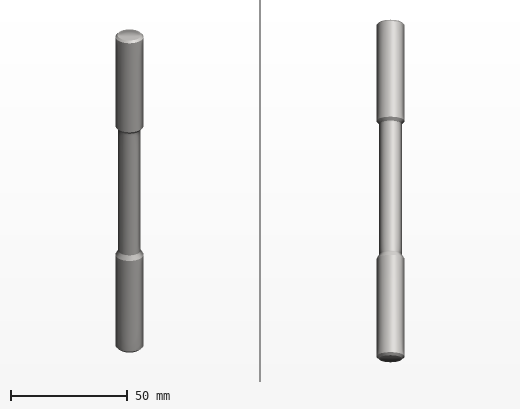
import cadquery as cq

length = 151.0
grip_radius = 6.0
waist_radius = 4.8

upper_grip_length = 45.3
tip_radius = 5.1
tip_chamfer_height = 0.9
upper_shoulder_height = 1.4

foot_radius = 5.0
foot_chamfer_height = 1.0
lower_grip_top = 44.8
lower_shoulder_height = 2.1

joint_z = length - upper_grip_length


def turned(outline):
    """A solid of revolution about Z from (radius, height) points."""
    return cq.Workplane("XZ").polyline(outline).close().revolve(360, (0, 0), (0, 1))


shank = turned([
    (0, 0),
    (foot_radius, 0),
    (grip_radius, foot_chamfer_height),
    (grip_radius, lower_grip_top),
    (waist_radius, lower_grip_top + lower_shoulder_height),
    (waist_radius, joint_z),
    (0, joint_z),
])

upper_grip = turned([
    (0, joint_z),
    (waist_radius, joint_z),
    (grip_radius, joint_z + upper_shoulder_height),
    (grip_radius, length - tip_chamfer_height),
    (tip_radius, length),
    (0, length),
])

result = cq.Compound.makeCompound([shank.val(), upper_grip.val()])